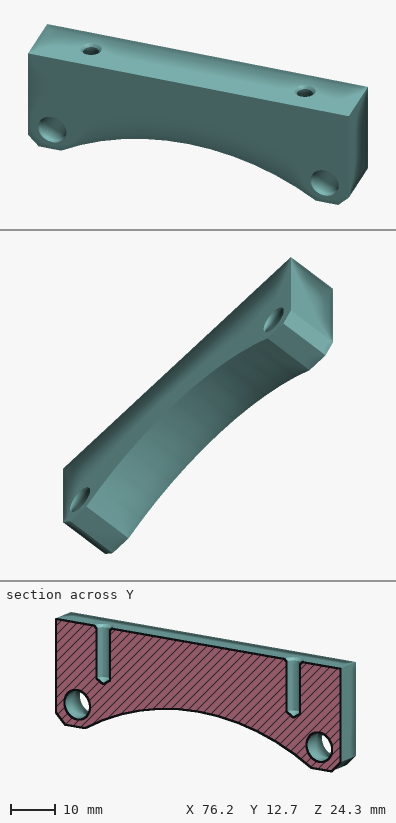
import cadquery as cq
import math

length = 76.2
width = 12.7
height = 24.3
corner_chamfer = 2.5

arch_half_span = 30.25
arch_rise = 8.45

cross_hole_diameter = 6.7
cross_hole_spacing = 64.7
cross_hole_height = 5.2

top_hole_spacing = 50.8
top_hole_diameter = 3.5
top_hole_depth = 12.2
countersink_diameter = 4.7
countersink_angle = 90.0
drill_point_angle = 118.0


def cone_depth(start_radius, end_radius, included_angle):
    """Axial length of a cone between two radii."""
    return (start_radius - end_radius) / math.tan(math.radians(included_angle / 2))


def make_body():
    """Block with chamfered lower corners and an arched underside."""
    half_length = length / 2
    foot_outer = half_length - corner_chamfer
    return (
        cq.Workplane("XZ")
        .moveTo(-half_length, height)
        .lineTo(half_length, height)
        .lineTo(half_length, corner_chamfer)
        .lineTo(foot_outer, 0)
        .lineTo(arch_half_span, 0)
        .threePointArc((0, arch_rise), (-arch_half_span, 0))
        .lineTo(-foot_outer, 0)
        .lineTo(-half_length, corner_chamfer)
        .close()
        .extrude(width / 2, both=True)
    )


def make_cross_hole(x):
    """Cylinder through the full width of a foot."""
    return (
        cq.Workplane("XZ")
        .center(x, cross_hole_height)
        .circle(cross_hole_diameter / 2)
        .extrude(width / 2, both=True)
    )


def make_top_hole(x):
    """Revolved cutter: countersink, straight bore and conical drill point."""
    bore_radius = top_hole_diameter / 2
    mouth_radius = countersink_diameter / 2
    countersink_depth = cone_depth(mouth_radius, bore_radius, countersink_angle)
    point_depth = cone_depth(bore_radius, 0, drill_point_angle)
    return (
        cq.Workplane("XZ")
        .moveTo(0, 0)
        .lineTo(mouth_radius, 0)
        .lineTo(bore_radius, -countersink_depth)
        .lineTo(bore_radius, -top_hole_depth)
        .lineTo(0, -top_hole_depth - point_depth)
        .close()
        .revolve(360, (0, 0, 0), (0, 1, 0))
        .translate((x, 0, height))
    )


result = make_body()
for side in (-1, 1):
    result = result.cut(make_cross_hole(side * cross_hole_spacing / 2))
    result = result.cut(make_top_hole(side * top_hole_spacing / 2))